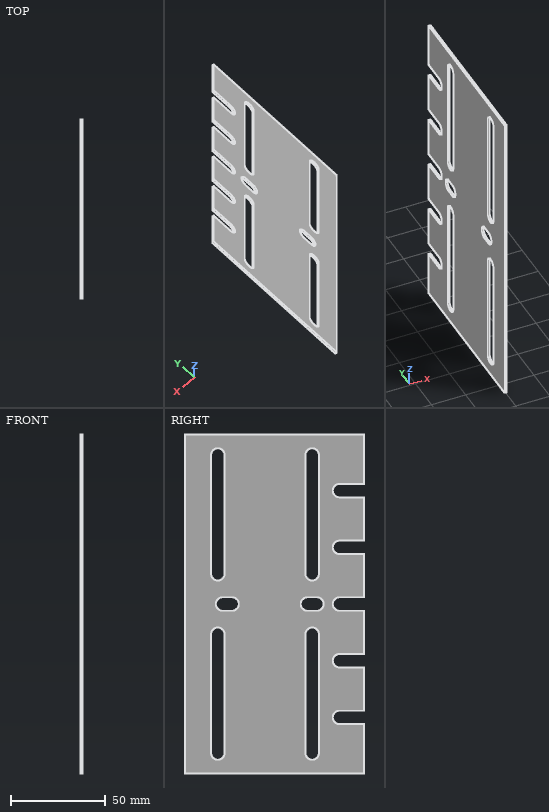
import cadquery as cq

thickness = 1.2
width = 95.0
height = 180

slot_width = 7.0

long_slot_length = 70.0
long_slot_offset_z = 47.5
inner_column_y = 20.0
column_spacing = 50.0
outer_column_y = inner_column_y - column_spacing

short_slot_length = 12.0
short_slot_spacing = 45.0
short_slot_ys = (inner_column_y, inner_column_y - short_slot_spacing)

notch_count = 5
notch_pitch = 30.0
notch_depth = 16.5


def slot_cutter(y, z, length, angle=0):
    """Round-ended cutter through the plate; angle 0 lies along Y, 90 along Z."""
    return (
        cq.Workplane("YZ")
        .center(y, z)
        .slot2D(length, slot_width, angle)
        .extrude(thickness, both=True)
    )


plate = cq.Workplane("YZ").rect(width, height).extrude(thickness / 2, both=True)

for column_y in (inner_column_y, outer_column_y):
    for slot_z in (-long_slot_offset_z, long_slot_offset_z):
        plate = plate.cut(slot_cutter(column_y, slot_z, long_slot_length, 90))

for short_slot_y in short_slot_ys:
    plate = plate.cut(slot_cutter(short_slot_y, 0, short_slot_length))

for index in range(notch_count):
    notch_z = (index - (notch_count - 1) / 2) * notch_pitch
    plate = plate.cut(slot_cutter(width / 2, notch_z, 2 * notch_depth))

result = plate